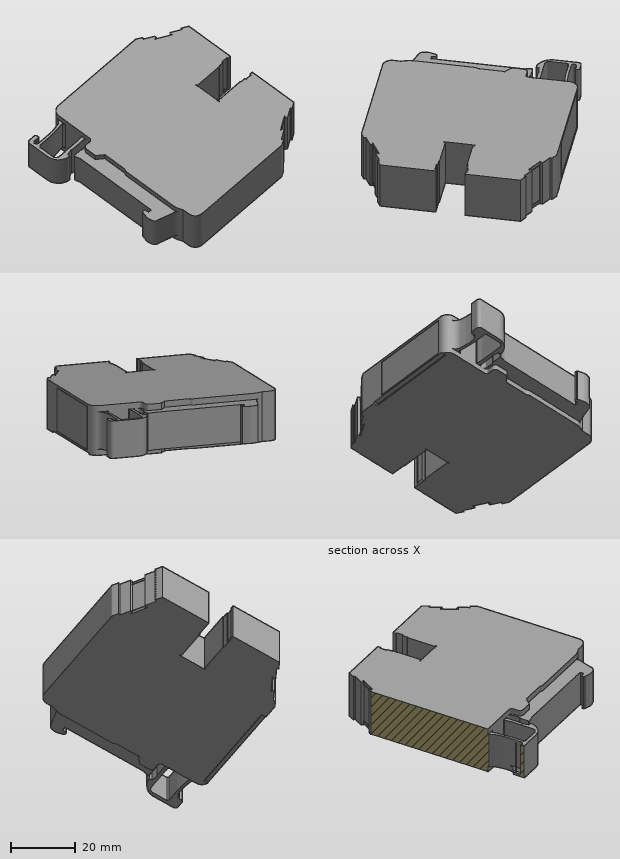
import cadquery as cq
import math


WIDTH = 62.0
HEIGHT = 66.71
THICKNESS = 16.0
HALF_WIDTH = WIDTH / 2

SHOULDER_RUN = math.tan(math.radians(30))
TOP_HALF_WIDTH = 22.26
UPPER_STEP_Y = 64.46
UPPER_STEP_DEPTH = 0.46
UPPER_STEP_HEIGHT = 0.46
LABEL_TOP_Y = 60.85
LABEL_SEAT = (24.24, 60.17)
LABEL_SEAT_END_Y = 56.34
LABEL_LEDGE_Y = 56.56
LABEL_LEDGE_INNER_X = 26.65
LABEL_LEDGE_OUTER_X = 27.4
LOWER_STEP = (29.88, 53.63)
LOWER_STEP_BOTTOM_Y = 53.4
SIDE_CORNER_RADIUS = 0.9

SLIT_TOP = (23.79, 60.68)
SLIT_BOTTOM_Y = 55.88
SLIT_DEPTH = 0.2
LABEL_Z = (1.17, 14.84)

SLOT_MOUTH_HALF_WIDTH = 4.62
SLOT_HALF_WIDTH = 4.4
SLOT_STEP_Y = 61.5
SLOT_FLOOR_Y = 51.15
SLOT_UNDERCUT_HALF_WIDTH = 4.9
SLOT_UNDERCUT_HEIGHT = 0.1
GROOVE_HALF_WIDTH = 5.05
GROOVE_Y = (63.3, 65.6)
GROOVE_FLOOR_Z = LABEL_Z[0]

CORNER_RADIUS = 3.0
LEFT_BOTTOM_Y = 13.08
RIGHT_BOTTOM_Y = 11.95
SKIRT_X = -14.09
SKIRT_TOP_RADIUS = 0.9
SKIRT_BOTTOM_RADIUS = 1.3
SKIRT_BOTTOM_Y = 9.24
SKIRT_RAMP_START_X = -9.02
SKIRT_RAMP_END_X = -7.12
SKIRT_RAISED_Y = 11.5
SKIRT_STEP_X = (1.06, 2.36)
SKIRT_STEP_RADIUS = 1.05
SKIRT_RIGHT_Y = 11.05
SKIRT_END_X = 22.9
SKIRT_BLEND_MIDDLE = (24.0, 11.35)
SKIRT_BLEND_END_X = 25.6

POCKET_Y = (17.0, 43.2)
POCKET_Z = (1.17, 15.07)
POCKET_DEPTH = 0.15
NOTCH_Y = (15.2, 46.75)
NOTCH_HEIGHT = 0.5
NOTCH_END_RUN = 0.3
NOTCH_DEPTH = 1.5

FOOT_Z = (2.0, 14.0)
FOOT_THICKNESS = FOOT_Z[1] - FOOT_Z[0]
FOOT_ROOT_Y = 15.0
RAIL_FACE_Y = 6.31

BEAM_LEFT_X = -14.77
BEAM_ROOT_RADIUS = 0.5
LIP_X = -15.0
LIP_TOP_Y = 9.36
LIP_CORNER = (-14.75, 5.85)
LIP_SIDE_Y = 6.1
LIP_TIP = (-14.1, 5.9)
LIP_RAMP_END_X = -12.6
RAIL_HOOK_ROOT = (17.25, 5.2)
RAIL_HOOK_UPPER = (15.95, 4.95)
RAIL_HOOK_NOSE = (15.75, 4.85)
RAIL_HOOK_TIP_X = 15.67
RAIL_HOOK_TIP_Y = (4.15, 4.65)
RAIL_HOOK_LOWER = (15.95, 3.85)
RAIL_HOOK_BOTTOM_X = (18.17, 19.16)
RAIL_HOOK_BOTTOM_Y = 3.2
RAIL_HOOK_HEEL_START = (20.15, 3.43)
RAIL_HOOK_HEEL_MIDDLE = (21.1, 3.95)
RAIL_HOOK_HEEL_END = (21.55, 4.95)
FLANK_TOP = (23.1, 10.03)
FLANK_BLEND_MIDDLE = (23.4, 10.75)

LEG_ROOT = (-29.24, 13.35)
LEG_FLARE_MIDDLE = (-27.75, 12.5)
LEG_FLARE_END = (-27.03, 11.1)
LEG_BEND = (-26.65, 9.07)
LEG_OUTER_X = -26.5
LEG_STRAIGHT_Y = 7.26
HOOK_LEFT_X = -29.43
HOOK_INNER_X = -28.07
HOOK_TOP_Y = 3.83
HOOK_GAP_FLOOR_Y = 1.13
HOOK_TOP_RADIUS = 0.6
HOOK_BOTTOM_RADIUS = 1.0
HOOK_BUMP_Y = (2.65, 3.5)
HOOK_BUMP_DEPTH = 0.2
LATCH_BOTTOM_END_X = -20.83
LATCH_SWEEP_MIDDLE = (-17.2, 1.6)
CATCH_TIP_X = -15.9
CATCH_TIP_Y = (4.07, 4.96)
CATCH_ROOT_X = -16.8
CATCH_NECK = (-17.2, 7.1)
CATCH_NECK_TOP_Y = 7.6
LATCH_RIGHT_X = -17.05
LATCH_ROOT_RADIUS = 0.5

WINDOW_FLOOR_Y = 1.13
WINDOW_TOP_X = (-25.2, -18.6)
WINDOW_LEFT_TOP = (-26.27, 12.7)
WINDOW_LEFT_MIDDLE = (-25.85, 9.5)
WINDOW_LEFT_X = -25.6
WINDOW_LEFT_BEND_Y = 6.0
WINDOW_CORNER_CHAMFER = 0.5
WINDOW_RIGHT_X = -18.15
WINDOW_CORNER_RADIUS = 1.6
WINDOW_RIGHT_BEND_Y = 10.8
WINDOW_RIGHT_TOP = (-18.4, 12.8)

GUSSET_TOP_Y = 5.9
GUSSET_ARC_MIDDLE = (-27.0, 4.6)
GUSSET_LOW_Z = 3.0
GUSSET_HIGH_Z = 4.0
GUSSET_SLOPE_X = -27.17


def box(x_range, y_range, z_range):
    """Box spanning the given ranges."""
    return (
        cq.Workplane("XY", origin=(0, 0, z_range[0]))
        .moveTo(x_range[0], y_range[0])
        .lineTo(x_range[1], y_range[0])
        .lineTo(x_range[1], y_range[1])
        .lineTo(x_range[0], y_range[1])
        .close()
        .extrude(z_range[1] - z_range[0])
    )


def both_sides(left):
    """A left-hand shape together with its mirror image at the right."""
    return left.union(left.mirror("YZ"))


def down_slope(start, end_y):
    """Point reached by following the shoulder slope outward from start to end_y."""
    return (start[0] + (start[1] - end_y) * SHOULDER_RUN, end_y)


def shoulder_points():
    """Right shoulder from the top edge down to the side face."""
    top = (TOP_HALF_WIDTH, HEIGHT)
    upper_tip = down_slope(top, UPPER_STEP_Y)
    upper_root = (upper_tip[0] - UPPER_STEP_DEPTH, UPPER_STEP_Y - UPPER_STEP_HEIGHT)
    side_top_y = LOWER_STEP[1] - (HALF_WIDTH - LOWER_STEP[0]) / SHOULDER_RUN
    ledge_outer = (LABEL_LEDGE_OUTER_X, LABEL_LEDGE_Y)
    return [
        top,
        upper_tip,
        (upper_root[0], UPPER_STEP_Y),
        upper_root,
        down_slope(upper_root, LABEL_TOP_Y),
        LABEL_SEAT,
        down_slope(LABEL_SEAT, LABEL_SEAT_END_Y),
        (LABEL_LEDGE_INNER_X, LABEL_LEDGE_Y),
        ledge_outer,
        down_slope(ledge_outer, LOWER_STEP_BOTTOM_Y),
        LOWER_STEP,
        (HALF_WIDTH, side_top_y),
    ]


def housing_body():
    right_shoulder = shoulder_points()
    left_shoulder = [(-x, y) for x, y in reversed(right_shoulder)]
    corner_inset = CORNER_RADIUS * (1 - math.sqrt(0.5))
    corner_x = HALF_WIDTH - CORNER_RADIUS
    skirt_step_middle = (sum(SKIRT_STEP_X) / 2, (SKIRT_RIGHT_Y + SKIRT_RAISED_Y) / 2)
    side_corner_y = right_shoulder[-1][1]
    body = (
        cq.Workplane("XY")
        .polyline(left_shoulder + right_shoulder)
        .lineTo(HALF_WIDTH, RIGHT_BOTTOM_Y + CORNER_RADIUS)
        .threePointArc(
            (HALF_WIDTH - corner_inset, RIGHT_BOTTOM_Y + corner_inset),
            (corner_x, RIGHT_BOTTOM_Y),
        )
        .lineTo(SKIRT_BLEND_END_X, RIGHT_BOTTOM_Y)
        .threePointArc(SKIRT_BLEND_MIDDLE, (SKIRT_END_X, SKIRT_RIGHT_Y))
        .lineTo(SKIRT_STEP_X[1], SKIRT_RIGHT_Y)
        .radiusArc(skirt_step_middle, SKIRT_STEP_RADIUS)
        .radiusArc((SKIRT_STEP_X[0], SKIRT_RAISED_Y), -SKIRT_STEP_RADIUS)
        .lineTo(SKIRT_RAMP_END_X, SKIRT_RAISED_Y)
        .lineTo(SKIRT_RAMP_START_X, SKIRT_BOTTOM_Y)
        .lineTo(SKIRT_X + SKIRT_BOTTOM_RADIUS, SKIRT_BOTTOM_Y)
        .radiusArc((SKIRT_X, SKIRT_BOTTOM_Y + SKIRT_BOTTOM_RADIUS), SKIRT_BOTTOM_RADIUS)
        .lineTo(SKIRT_X, LEFT_BOTTOM_Y - SKIRT_TOP_RADIUS)
        .radiusArc((SKIRT_X - SKIRT_TOP_RADIUS, LEFT_BOTTOM_Y), -SKIRT_TOP_RADIUS)
        .lineTo(-corner_x, LEFT_BOTTOM_Y)
        .threePointArc(
            (-HALF_WIDTH + corner_inset, LEFT_BOTTOM_Y + corner_inset),
            (-HALF_WIDTH, LEFT_BOTTOM_Y + CORNER_RADIUS),
        )
        .close()
        .extrude(THICKNESS)
    )
    for corner in ((-HALF_WIDTH, side_corner_y), (HALF_WIDTH, side_corner_y)):
        edge = cq.selectors.NearestToPointSelector((corner[0], corner[1], THICKNESS / 2))
        body = body.edges("|Z").edges(edge).fillet(SIDE_CORNER_RADIUS)
    return body


def top_slot():
    """Stepped slot with thin undercuts at its floor and a groove in each wall."""
    full_z = (0, THICKNESS)
    slot = box((-SLOT_HALF_WIDTH, SLOT_HALF_WIDTH), (SLOT_FLOOR_Y, HEIGHT), full_z)
    mouth = box((-SLOT_MOUTH_HALF_WIDTH, SLOT_MOUTH_HALF_WIDTH), (SLOT_STEP_Y, HEIGHT), full_z)
    undercut = box(
        (-SLOT_UNDERCUT_HALF_WIDTH, SLOT_UNDERCUT_HALF_WIDTH),
        (SLOT_FLOOR_Y, SLOT_FLOOR_Y + SLOT_UNDERCUT_HEIGHT),
        full_z,
    )
    grooves = box((-GROOVE_HALF_WIDTH, GROOVE_HALF_WIDTH), GROOVE_Y, (GROOVE_FLOOR_Z, THICKNESS))
    return slot.union(mouth).union(undercut).union(grooves)


def label_slits():
    """Thin slits along both shoulders, above and below the label seats."""
    top = (-SLIT_TOP[0], SLIT_TOP[1])
    bottom = (-down_slope(SLIT_TOP, SLIT_BOTTOM_Y)[0], SLIT_BOTTOM_Y)
    offset_x = -SLIT_DEPTH * math.cos(math.radians(30))
    offset_y = SLIT_DEPTH * math.sin(math.radians(30))
    outline = [
        top,
        bottom,
        (bottom[0] + offset_x, bottom[1] + offset_y),
        (top[0] + offset_x, top[1] + offset_y),
    ]
    slit = cq.Workplane("XY").polyline(outline).close().extrude(THICKNESS)
    label_zone = box((-HALF_WIDTH, 0), (0, HEIGHT), LABEL_Z)
    return both_sides(slit.cut(label_zone))


def side_pocket():
    return box((-HALF_WIDTH, -HALF_WIDTH + POCKET_DEPTH), POCKET_Y, POCKET_Z)


def edge_notch():
    """Low notch with sloped ends along the lower left edge."""
    start, end = NOTCH_Y
    return (
        cq.Workplane("YZ", origin=(-HALF_WIDTH, 0, 0))
        .moveTo(start, 0)
        .lineTo(end, 0)
        .lineTo(end - NOTCH_END_RUN, NOTCH_HEIGHT)
        .lineTo(start + NOTCH_END_RUN, NOTCH_HEIGHT)
        .close()
        .extrude(NOTCH_DEPTH)
    )


def foot_plane():
    return cq.Workplane("XY", origin=(0, 0, FOOT_Z[0]))


def rail_beam():
    """Right part of the foot, with the fixed rail hook at its end."""
    root_x = BEAM_LEFT_X - BEAM_ROOT_RADIUS
    return (
        foot_plane()
        .moveTo(root_x, LEFT_BOTTOM_Y)
        .radiusArc((BEAM_LEFT_X, LEFT_BOTTOM_Y - BEAM_ROOT_RADIUS), BEAM_ROOT_RADIUS)
        .lineTo(BEAM_LEFT_X, LIP_TOP_Y)
        .lineTo(LIP_X, LIP_TOP_Y)
        .lineTo(LIP_X, LIP_SIDE_Y)
        .lineTo(*LIP_CORNER)
        .lineTo(*LIP_TIP)
        .lineTo(LIP_RAMP_END_X, RAIL_FACE_Y)
        .lineTo(RAIL_HOOK_ROOT[0], RAIL_FACE_Y)
        .lineTo(*RAIL_HOOK_ROOT)
        .lineTo(*RAIL_HOOK_UPPER)
        .threePointArc(RAIL_HOOK_NOSE, (RAIL_HOOK_TIP_X, RAIL_HOOK_TIP_Y[1]))
        .lineTo(RAIL_HOOK_TIP_X, RAIL_HOOK_TIP_Y[0])
        .lineTo(*RAIL_HOOK_LOWER)
        .lineTo(RAIL_HOOK_BOTTOM_X[0], RAIL_HOOK_BOTTOM_Y)
        .lineTo(RAIL_HOOK_BOTTOM_X[1], RAIL_HOOK_BOTTOM_Y)
        .lineTo(*RAIL_HOOK_HEEL_START)
        .threePointArc(RAIL_HOOK_HEEL_MIDDLE, RAIL_HOOK_HEEL_END)
        .lineTo(*FLANK_TOP)
        .threePointArc(FLANK_BLEND_MIDDLE, SKIRT_BLEND_MIDDLE)
        .lineTo(SKIRT_BLEND_MIDDLE[0], FOOT_ROOT_Y)
        .lineTo(root_x, FOOT_ROOT_Y)
        .close()
        .extrude(FOOT_THICKNESS)
    )


def latch_outer():
    """Latch filled in, with the gap of the release hook left open."""
    gap_radius = (LEG_OUTER_X - HOOK_INNER_X) / 2
    gap_center_x = (LEG_OUTER_X + HOOK_INNER_X) / 2
    gap_side_y = HOOK_GAP_FLOOR_Y + gap_radius
    bump_tip = (HOOK_INNER_X + HOOK_BUMP_DEPTH, sum(HOOK_BUMP_Y) / 2)
    root_x = LATCH_RIGHT_X + LATCH_ROOT_RADIUS
    return (
        foot_plane()
        .moveTo(LEG_ROOT[0], FOOT_ROOT_Y)
        .lineTo(*LEG_ROOT)
        .threePointArc(LEG_FLARE_MIDDLE, LEG_FLARE_END)
        .lineTo(*LEG_BEND)
        .lineTo(LEG_OUTER_X, LEG_STRAIGHT_Y)
        .lineTo(LEG_OUTER_X, gap_side_y)
        .threePointArc((gap_center_x, HOOK_GAP_FLOOR_Y), (HOOK_INNER_X, gap_side_y))
        .lineTo(HOOK_INNER_X, HOOK_BUMP_Y[0])
        .threePointArc(bump_tip, (HOOK_INNER_X, HOOK_BUMP_Y[1]))
        .lineTo(HOOK_INNER_X, HOOK_TOP_Y)
        .lineTo(HOOK_LEFT_X + HOOK_TOP_RADIUS, HOOK_TOP_Y)
        .radiusArc((HOOK_LEFT_X, HOOK_TOP_Y - HOOK_TOP_RADIUS), -HOOK_TOP_RADIUS)
        .lineTo(HOOK_LEFT_X, HOOK_BOTTOM_RADIUS)
        .radiusArc((HOOK_LEFT_X + HOOK_BOTTOM_RADIUS, 0), -HOOK_BOTTOM_RADIUS)
        .lineTo(LATCH_BOTTOM_END_X, 0)
        .threePointArc(LATCH_SWEEP_MIDDLE, (CATCH_TIP_X, CATCH_TIP_Y[0]))
        .lineTo(CATCH_TIP_X, CATCH_TIP_Y[1])
        .lineTo(CATCH_ROOT_X, CATCH_TIP_Y[1])
        .lineTo(*CATCH_NECK)
        .lineTo(LATCH_RIGHT_X, CATCH_NECK_TOP_Y)
        .lineTo(LATCH_RIGHT_X, LEFT_BOTTOM_Y - LATCH_ROOT_RADIUS)
        .radiusArc((root_x, LEFT_BOTTOM_Y), LATCH_ROOT_RADIUS)
        .lineTo(root_x, FOOT_ROOT_Y)
        .close()
        .extrude(FOOT_THICKNESS)
    )


def latch_window():
    round_x = WINDOW_RIGHT_X - WINDOW_CORNER_RADIUS
    round_y = WINDOW_FLOOR_Y + WINDOW_CORNER_RADIUS
    return (
        foot_plane()
        .moveTo(WINDOW_TOP_X[0], LEFT_BOTTOM_Y)
        .lineTo(*WINDOW_LEFT_TOP)
        .threePointArc(WINDOW_LEFT_MIDDLE, (WINDOW_LEFT_X, WINDOW_LEFT_BEND_Y))
        .lineTo(WINDOW_LEFT_X, WINDOW_FLOOR_Y + WINDOW_CORNER_CHAMFER)
        .lineTo(WINDOW_LEFT_X + WINDOW_CORNER_CHAMFER, WINDOW_FLOOR_Y)
        .lineTo(round_x, WINDOW_FLOOR_Y)
        .radiusArc((WINDOW_RIGHT_X, round_y), -WINDOW_CORNER_RADIUS)
        .lineTo(WINDOW_RIGHT_X, WINDOW_RIGHT_BEND_Y)
        .lineTo(*WINDOW_RIGHT_TOP)
        .lineTo(WINDOW_TOP_X[1], LEFT_BOTTOM_Y)
        .close()
        .extrude(FOOT_THICKNESS)
    )


def hook_gusset():
    """Web in the hook gap, low beside the hook and rising steeply to the leg."""
    hook_middle_x = (HOOK_LEFT_X + HOOK_INNER_X) / 2
    leg_middle_x = (LEG_OUTER_X + WINDOW_LEFT_X) / 2
    gap_floor_y = HOOK_GAP_FLOOR_Y / 2
    outline = (
        foot_plane()
        .moveTo(hook_middle_x, gap_floor_y)
        .lineTo(leg_middle_x, gap_floor_y)
        .lineTo(leg_middle_x, GUSSET_TOP_Y)
        .lineTo(LEG_OUTER_X, GUSSET_TOP_Y)
        .threePointArc(GUSSET_ARC_MIDDLE, (HOOK_INNER_X, HOOK_TOP_Y))
        .lineTo(hook_middle_x, HOOK_TOP_Y)
        .close()
        .extrude(FOOT_THICKNESS)
    )
    height_profile = (
        cq.Workplane("XZ")
        .moveTo(hook_middle_x, FOOT_Z[0])
        .lineTo(leg_middle_x, FOOT_Z[0])
        .lineTo(leg_middle_x, GUSSET_HIGH_Z)
        .lineTo(LEG_OUTER_X, GUSSET_HIGH_Z)
        .lineTo(GUSSET_SLOPE_X, GUSSET_LOW_Z)
        .lineTo(hook_middle_x, GUSSET_LOW_Z)
        .close()
        .extrude(-GUSSET_TOP_Y)
    )
    return outline.intersect(height_profile)


def latch():
    """Sprung loop with a release hook at its lower left."""
    return latch_outer().cut(latch_window()).union(hook_gusset())


result = housing_body().union(rail_beam()).union(latch())
result = result.cut(top_slot()).cut(label_slits()).cut(side_pocket()).cut(edge_notch())